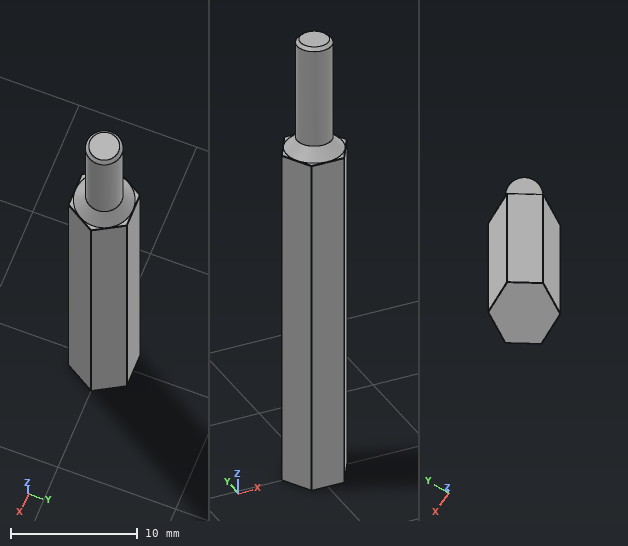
import cadquery as cq
import math

across_flats = 5.0
across_corners = across_flats / math.cos(math.pi / 6)
body_height = 30.0
edge_chamfer = 0.06

total_height = 40.0
stud_diameter = 3.0
stud_tip_chamfer = 0.3
cone_rim_diameter = across_flats - 2 * edge_chamfer
cone_height = 1.0

body = cq.Workplane("XY").polygon(6, across_corners).extrude(body_height)
body = body.edges().chamfer(edge_chamfer)

stud_radius = stud_diameter / 2
turned_end = (
    cq.Workplane("XZ")
    .moveTo(0, body_height)
    .lineTo(cone_rim_diameter / 2, body_height)
    .lineTo(stud_radius, body_height + cone_height)
    .lineTo(stud_radius, total_height - stud_tip_chamfer)
    .lineTo(stud_radius - stud_tip_chamfer, total_height)
    .lineTo(0, total_height)
    .close()
    .revolve(360, (0, 0, 0), (0, 1, 0))
)

result = body.union(turned_end)